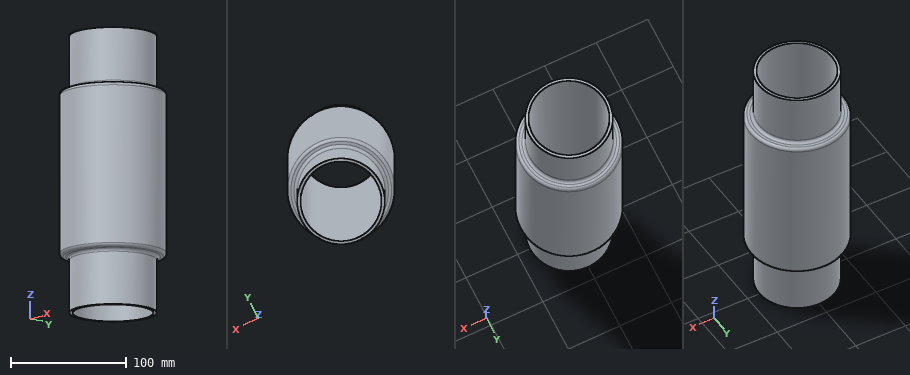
import cadquery as cq

total_length = 246.0
stub_length = 50.0
sleeve_diameter = 93.5
tube_diameter = 76.3
wall_thickness = 3.0
corner_radius = 3.0

tube_end = total_length / 2
sleeve_end = tube_end - stub_length
sleeve_radius = sleeve_diameter / 2
tube_radius = tube_diameter / 2
bore_radius = tube_radius - wall_thickness

rim_side = (sleeve_radius, sleeve_end - corner_radius)
rim_face = (sleeve_radius - corner_radius, sleeve_end)
corner_face = (tube_radius + corner_radius, sleeve_end)
corner_tube = (tube_radius, sleeve_end + corner_radius)


def mirrored(point):
    """The matching point at the lower end of the part."""
    radius, height = point
    return (radius, -height)


wall_section = (
    cq.Workplane("XZ")
    .moveTo(bore_radius, -tube_end)
    .lineTo(tube_radius, -tube_end)
    .lineTo(*mirrored(corner_tube))
    .radiusArc(mirrored(corner_face), corner_radius)
    .lineTo(*mirrored(rim_face))
    .radiusArc(mirrored(rim_side), -corner_radius)
    .lineTo(*rim_side)
    .radiusArc(rim_face, -corner_radius)
    .lineTo(*corner_face)
    .radiusArc(corner_tube, corner_radius)
    .lineTo(tube_radius, tube_end)
    .lineTo(bore_radius, tube_end)
    .close()
)

result = wall_section.revolve(360, (0, 0, 0), (0, 1, 0))